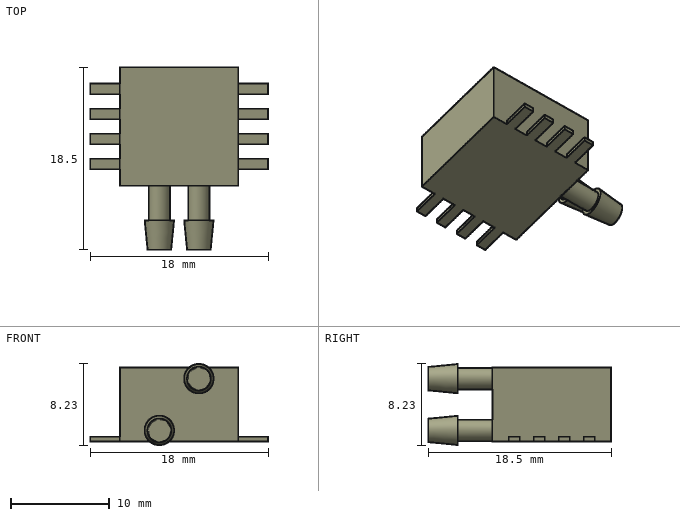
import cadquery as cq

body_side = 12.0
body_height = 7.5

lead_length = 3.0
lead_width = 1.1
lead_thickness = 0.5
lead_pitch = 2.53
leads_per_side = 4

tube_diameter = 2.2
tube_length = 3.5
barb_base_diameter = 3.0
barb_tip_diameter = 2.4
barb_length = 3.0
port_offset_x = 2.0
low_port_z = 1.13
high_port_z = 6.36


def make_body():
    return cq.Workplane("XY").box(body_side, body_side, body_height, centered=(True, True, False))


def make_lead_pair(y):
    """One strip through the housing, leaving a lead on each side."""
    span = body_side + 2 * lead_length
    strip = cq.Workplane("XY").box(span, lead_width, lead_thickness, centered=(True, True, False))
    return strip.translate((0, y, 0))


def make_port(x, z):
    """Revolve the half profile of the tube and barb about the port axis."""
    tube_radius = tube_diameter / 2
    port_length = tube_length + barb_length
    profile = (
        cq.Workplane("XY")
        .lineTo(tube_radius, 0)
        .lineTo(tube_radius, -tube_length)
        .lineTo(barb_base_diameter / 2, -tube_length)
        .lineTo(barb_tip_diameter / 2, -port_length)
        .lineTo(0, -port_length)
        .close()
    )
    port = profile.revolve(360, (0, 0, 0), (0, 1, 0))
    return port.translate((x, -body_side / 2, z))


result = make_body()

for index in range(leads_per_side):
    lead_y = (index - (leads_per_side - 1) / 2) * lead_pitch
    result = result.union(make_lead_pair(lead_y))

for port_x, port_z in ((-port_offset_x, low_port_z), (port_offset_x, high_port_z)):
    result = result.union(make_port(port_x, port_z))